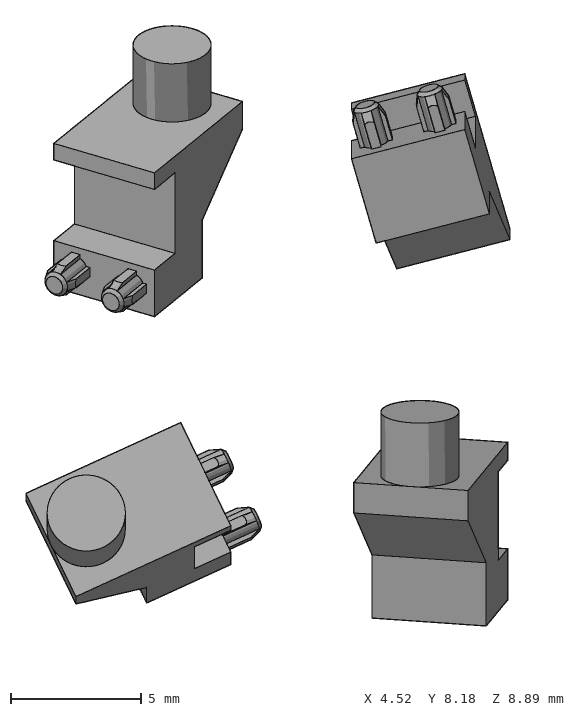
import cadquery as cq

WIDTH = 4.52
DEPTH = 6.58
OVERALL_HEIGHT = 8.89
PILLAR_DIAMETER = 3.005
PILLAR_HEIGHT = 2.56
BODY_HEIGHT = OVERALL_HEIGHT - PILLAR_HEIGHT
TOP_PLATE_THICKNESS = 0.73
FOOT_HEIGHT = 2.05
NOTCH_DEPTH = 1.54
OVERHANG = PILLAR_DIAMETER
SLOPE_BOTTOM = 2.54
SLOPE_TOP = 5.11

PEG_LENGTH = 1.6
PEG_SPACING = 2.53
PEG_HEIGHT = 1.14
PEG_RADIUS = 0.51
TIP_CHAMFER = 0.13
RIB_REACH = 0.64
RIB_WIDTH = 0.39
RIB_TAPER_START = 1.1
RIB_END = PEG_LENGTH - TIP_CHAMFER


def make_body():
    outline = [
        (0, 0),
        (0, FOOT_HEIGHT),
        (NOTCH_DEPTH, FOOT_HEIGHT),
        (NOTCH_DEPTH, BODY_HEIGHT - TOP_PLATE_THICKNESS),
        (0, BODY_HEIGHT - TOP_PLATE_THICKNESS),
        (0, BODY_HEIGHT),
        (DEPTH, BODY_HEIGHT),
        (DEPTH, SLOPE_TOP),
        (DEPTH - OVERHANG, SLOPE_BOTTOM),
        (DEPTH - OVERHANG, 0),
    ]
    return cq.Workplane("YZ").polyline(outline).close().extrude(WIDTH / 2, both=True)


def make_pillar():
    pillar_radius = PILLAR_DIAMETER / 2
    return (
        cq.Workplane("XY", origin=(0, DEPTH - pillar_radius, BODY_HEIGHT))
        .circle(pillar_radius)
        .extrude(PILLAR_HEIGHT)
    )


def make_peg():
    """Peg pointing along -Y from the origin, with four ribs tapering into its core."""
    core = cq.Workplane("XZ").circle(PEG_RADIUS).extrude(PEG_LENGTH)
    core = core.faces("<Y").chamfer(TIP_CHAMFER)

    ribs = (
        cq.Workplane("XZ")
        .rect(2 * RIB_REACH, RIB_WIDTH)
        .extrude(RIB_END)
        .union(cq.Workplane("XZ").rect(RIB_WIDTH, 2 * RIB_REACH).extrude(RIB_END))
    )

    taper_slope = (RIB_REACH - PEG_RADIUS) / (RIB_END - RIB_TAPER_START)
    root_radius = PEG_RADIUS + taper_slope * RIB_END
    taper_cone = (
        cq.Workplane("XY")
        .polyline([(0, 0), (root_radius, 0), (PEG_RADIUS, -RIB_END), (0, -RIB_END)])
        .close()
        .revolve(360, (0, 0, 0), (0, 1, 0))
    )
    return core.union(ribs.intersect(taper_cone))


result = make_body().union(make_pillar())
for side in (-1, 1):
    result = result.union(make_peg().translate((side * PEG_SPACING / 2, 0, PEG_HEIGHT)))